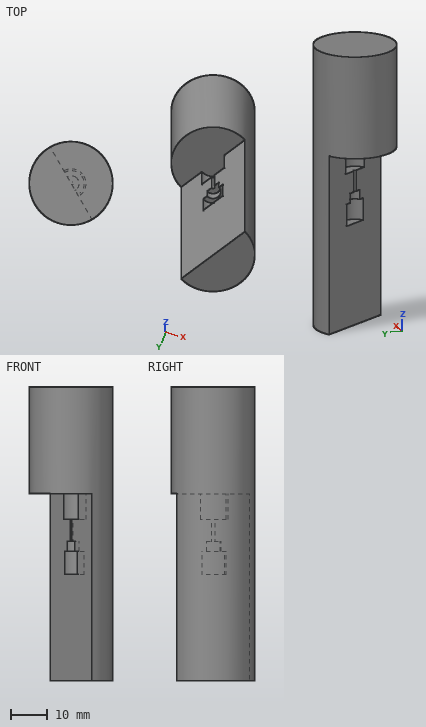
import cadquery as cq

body_diameter = 22.8
body_height = 79.9
head_bottom = 50.9

flat_angle = -60.0

recess_steps = [
    (8.0, 43.95),
    (1.0, 37.95),
    (4.2, 35.2),
    (7.0, 29.0),
]


def make_body():
    """Full round head above a half cylinder."""
    cylinder = cq.Workplane("XY").circle(body_diameter / 2).extrude(body_height)
    removed_half = (
        cq.Workplane("XY")
        .rect(2 * body_diameter, body_diameter)
        .extrude(head_bottom)
        .translate((0, -body_diameter / 2, 0))
        .rotate((0, 0, 0), (0, 0, 1), flat_angle)
    )
    return cylinder.cut(removed_half)


def cut_recess(body):
    """Stepped round recess on the body axis, open through the flat face."""
    top = head_bottom
    for diameter, bottom in recess_steps:
        step = (
            cq.Workplane("XY")
            .workplane(offset=bottom)
            .circle(diameter / 2)
            .extrude(top - bottom)
        )
        body = body.cut(step)
        top = bottom
    return body


result = cut_recess(make_body())